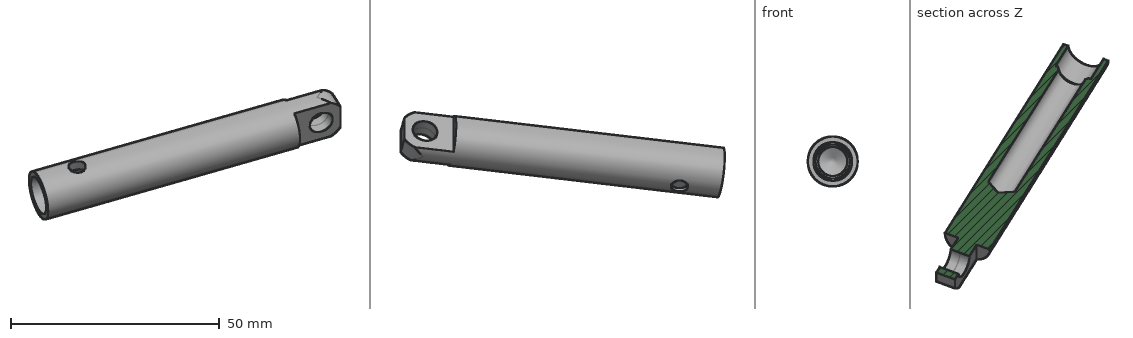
import cadquery as cq

total_length = 77.5
rod_diameter = 12.0
rod_radius = rod_diameter / 2

tang_length = rod_diameter
tang_width = 5.0
eye_diameter = 6.0
eye_to_tip = 5.0
eye_y = total_length - eye_to_tip
shoulder_y = total_length - tang_length

mouth_radius = 4.65
mouth_depth = 7.0
bore_radius = 3.5
bore_depth = 46.5
bore_chamfer = 0.6
point_length = 2.0

pin_diameter = 4.0
pin_y = 10.0
blind_pin_depth = (rod_radius - bore_radius) / 2


def make_rod():
    """Round rod whose tip is rounded about the eye axis."""
    rod = cq.Workplane("XZ").circle(rod_radius).extrude(-total_length)
    rounded_side = (
        cq.Workplane("YZ")
        .moveTo(0, -rod_radius)
        .lineTo(eye_y, -rod_radius)
        .threePointArc((eye_y + rod_radius, 0), (eye_y, rod_radius))
        .lineTo(0, rod_radius)
        .close()
        .extrude(rod_radius, both=True)
    )
    return rod.intersect(rounded_side)


def make_tang_side_cut(side):
    """Block removed from one side (+1 or -1) of the tang."""
    block_width = rod_radius
    x_center = side * (tang_width + block_width) / 2
    return cq.Workplane("XY").box(block_width, tang_length, rod_diameter).translate(
        (x_center, shoulder_y + tang_length / 2, 0)
    )


def make_eye():
    return (
        cq.Workplane("YZ")
        .center(eye_y, 0)
        .circle(eye_diameter / 2)
        .extrude(rod_radius, both=True)
    )


def make_bore():
    """Wide mouth, chamfered narrower bore and conical point, turned about Y."""
    return (
        cq.Workplane("XY")
        .moveTo(0, 0)
        .lineTo(mouth_radius, 0)
        .lineTo(mouth_radius, mouth_depth)
        .lineTo(bore_radius + bore_chamfer, mouth_depth)
        .lineTo(bore_radius, mouth_depth + bore_chamfer)
        .lineTo(bore_radius, bore_depth)
        .lineTo(0, bore_depth + point_length)
        .close()
        .revolve(360, (0, 0, 0), (0, 1, 0))
    )


def make_pin_hole(start_z, depth):
    """Vertical pin hole rising from start_z."""
    return (
        cq.Workplane("XY")
        .workplane(offset=start_z)
        .center(0, pin_y)
        .circle(pin_diameter / 2)
        .extrude(depth)
    )


result = make_rod()
for side in (-1, 1):
    result = result.cut(make_tang_side_cut(side))
result = result.cut(make_eye()).cut(make_bore())
result = result.cut(make_pin_hole(0, rod_radius))
result = result.cut(make_pin_hole(-rod_radius, blind_pin_depth))